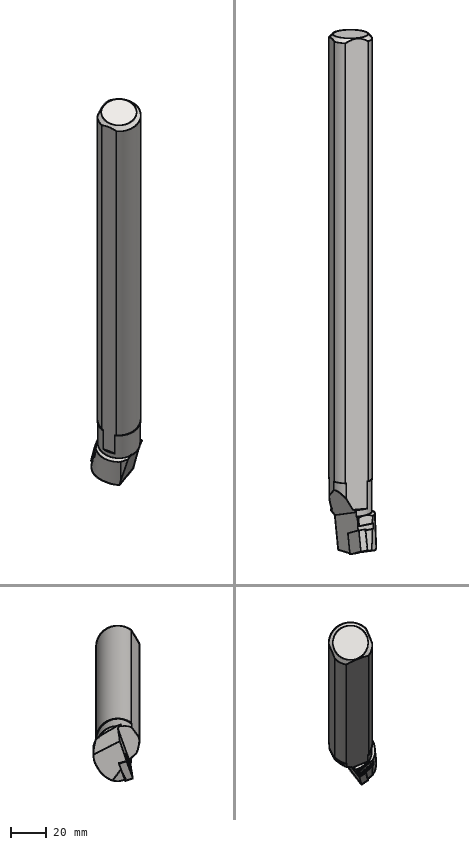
import cadquery as cq
import math

TOTAL_LENGTH = 304.2
BLOCK = 182.5

SHANK_RADIUS = 12.5
NECK_RADIUS = 12.2
FRONT_FLAT = 11.5
SIDE_FLAT = 10.3
STEP_Z = 43.2
FLAT_END_Z = 27.5
TOP_CHAMFER = 2.5

HEAD_TOP_Z = 23.7
HEAD_RADIUS = 14.0
HEAD_CHAMFER_HEIGHT = 1.2
STRIP_LEFT_X = -1.2
STRIP_RIGHT_X = 0.0
BACK_Y = 11.0
HEAD_LEAN = 10.0
HEAD_RIGHT_X = 10.5
CORNER_FLAT = 13.5
CORNER_FLAT_ANGLE = 40.0
BOTTOM_Z = 1.0
BOTTOM_RELIEF = 9.0
SIDE_RELIEF = 19.0

TIP_X = -16.7
EDGE_LENGTH = 12.2
INSERT_THICKNESS = 4.5
INSERT_ANGLE = 100.0
EDGE_SLOPE = 20.0
RAKE = 12.5
EDGE_PROJECTION = 0.3

GULLET_POINT = (-10.3, 1.5, 26.0)
GULLET_SLOPE_X = 0.4
GULLET_SLOPE_Z = 0.6

GROOVE_BOTTOM_Z = 15.2
GROOVE_TOP_Z = 18.3
GROOVE_DEPTH = 0.5
GROOVE_FRONT_Y = -10.3

tip_z = EDGE_LENGTH * math.sin(math.radians(EDGE_SLOPE))
lean_slope = math.tan(math.radians(HEAD_LEAN))
rake_slope = math.tan(math.radians(RAKE))
side_top_x = TIP_X + EDGE_PROJECTION + lean_slope * (HEAD_TOP_Z - tip_z)


def half_space(point, outward):
    """Block on the outward side of the plane through the point."""
    return cq.Workplane(cq.Plane(origin=point, normal=outward)).rect(BLOCK, BLOCK).extrude(BLOCK)


def flatted_bar(radius, bottom, top):
    """Round bar along Z with front, back and -X flats."""
    bar = cq.Workplane("XY").workplane(offset=bottom).circle(radius).extrude(top - bottom)
    envelope = cq.Workplane("XY").box(
        SIDE_FLAT + radius, 2 * FRONT_FLAT, top - bottom, centered=(False, True, False)
    ).translate((-SIDE_FLAT, 0, bottom))
    return bar.intersect(envelope)


def make_shank():
    top_cone = (
        cq.Workplane("XY").circle(SHANK_RADIUS).extrude(TOTAL_LENGTH)
        .faces(">Z").chamfer(TOP_CHAMFER)
    )
    shank = flatted_bar(SHANK_RADIUS, STEP_Z, TOTAL_LENGTH).intersect(top_cone)
    neck = flatted_bar(NECK_RADIUS, FLAT_END_Z, STEP_Z)
    collar = (
        cq.Workplane("XY").workplane(offset=HEAD_TOP_Z)
        .circle(NECK_RADIUS).extrude(FLAT_END_Z - HEAD_TOP_Z)
    )
    return shank.union(neck).union(collar)


def head_section(workplane, left_x):
    """Head outline: curved left side, narrow front strip and round right side."""
    diagonal = math.sqrt(0.5)
    left_bulge = (STRIP_LEFT_X + (left_x - STRIP_LEFT_X) * diagonal, -HEAD_RADIUS * diagonal)
    right_x = STRIP_RIGHT_X + HEAD_RADIUS
    right_bulge = (STRIP_RIGHT_X + HEAD_RADIUS * diagonal, -HEAD_RADIUS * diagonal)
    return (
        workplane.moveTo(left_x, BACK_Y).lineTo(left_x, 0)
        .threePointArc(left_bulge, (STRIP_LEFT_X, -HEAD_RADIUS))
        .lineTo(STRIP_RIGHT_X, -HEAD_RADIUS)
        .threePointArc(right_bulge, (right_x, 0))
        .lineTo(right_x, BACK_Y).close()
    )


def make_head():
    bottom_left_x = side_top_x - lean_slope * HEAD_TOP_Z
    lower = head_section(cq.Workplane("XY"), bottom_left_x)
    head = head_section(lower.workplane(offset=HEAD_TOP_Z), side_top_x).loft(ruled=True)

    shoulder_growth = (HEAD_RADIUS - NECK_RADIUS) / HEAD_CHAMFER_HEIGHT
    cone_base_radius = NECK_RADIUS + shoulder_growth * HEAD_TOP_Z
    cone = cq.Workplane(cq.Solid.makeCone(cone_base_radius, NECK_RADIUS, HEAD_TOP_Z))
    head = head.intersect(cone)

    head = head.cut(half_space((HEAD_RIGHT_X, 0, HEAD_TOP_Z), (1, 0, -lean_slope)))

    corner_angle = math.radians(CORNER_FLAT_ANGLE)
    corner_normal = cq.Vector(math.cos(corner_angle), -math.sin(corner_angle), 0)
    head = head.cut(half_space(corner_normal * CORNER_FLAT, corner_normal))

    side_relief = math.tan(math.radians(SIDE_RELIEF))
    head = head.cut(half_space((side_top_x, 0, HEAD_TOP_Z), (-1, -side_relief, lean_slope)))

    bottom_relief = math.tan(math.radians(BOTTOM_RELIEF))
    head = head.cut(half_space((0, 0, BOTTOM_Z), (0, -bottom_relief, -1)))
    edge_slope = math.tan(math.radians(EDGE_SLOPE))
    edge_point = (TIP_X, 0, tip_z + EDGE_PROJECTION)
    return head.cut(half_space(edge_point, (-edge_slope, 0, -1)))


def make_gullet():
    """Space in front of the rake face, closed at the top by a sloping run-out."""
    above_rake = half_space((TIP_X, 0, tip_z), (-rake_slope, 1, 0))
    run_out = half_space(GULLET_POINT, (-GULLET_SLOPE_X, 1, -GULLET_SLOPE_Z))
    return above_rake.intersect(run_out)


def make_groove():
    """Shallow groove across the -X side of the head, just above the insert."""
    middle_z = (GROOVE_BOTTOM_Z + GROOVE_TOP_Z) / 2
    side_relief = math.tan(math.radians(SIDE_RELIEF))
    side_x = side_top_x - lean_slope * (HEAD_TOP_Z - middle_z)
    outside = half_space((side_x + GROOVE_DEPTH, 0, middle_z), (-1, -side_relief, lean_slope))
    band = cq.Workplane("XY").box(
        BLOCK, BLOCK, GROOVE_TOP_Z - GROOVE_BOTTOM_Z, centered=(True, False, False)
    ).translate((0, GROOVE_FRONT_Y, GROOVE_BOTTOM_Z))
    return outside.intersect(band)


def make_insert():
    """Rhombic insert whose rake face is tilted about a vertical line through the tip."""
    rake_plane = cq.Plane(
        origin=(TIP_X, 0, tip_z), xDir=(1, rake_slope, 0), normal=(-rake_slope, 1, 0)
    )
    lower_angle = math.radians(EDGE_SLOPE)
    side_angle = math.radians(EDGE_SLOPE - INSERT_ANGLE)
    lower_edge = (EDGE_LENGTH * math.cos(lower_angle), EDGE_LENGTH * math.sin(lower_angle))
    side_edge = (EDGE_LENGTH * math.cos(side_angle), EDGE_LENGTH * math.sin(side_angle))
    far_corner = (lower_edge[0] + side_edge[0], lower_edge[1] + side_edge[1])
    return (
        cq.Workplane(rake_plane)
        .polyline([(0, 0), lower_edge, far_corner, side_edge]).close()
        .extrude(-INSERT_THICKNESS)
    )


insert = make_insert()
holder = make_shank().union(make_head()).cut(make_gullet()).cut(make_groove()).cut(insert)

result = cq.Compound.makeCompound([holder.solids().val(), insert.val()])